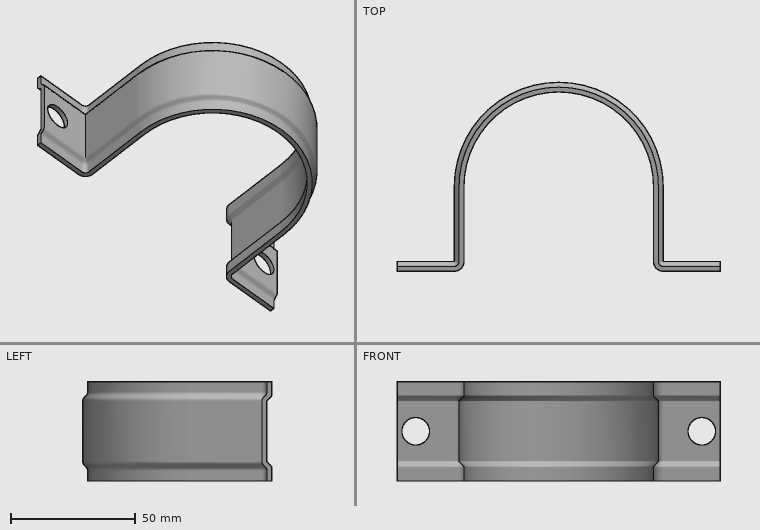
import cadquery as cq
import math

pipe_diameter = 76.1
overall_length = 130.0
strip_width = 40.0
thickness = 2.0
press_depth = 2.0
arch_center_y = 34.0
hole_diameter = 11.0
hole_spacing = 115.0

step_angle = 45.0
rim_outer_corner = 5.0
outer_foot_radius = 2.0
outer_crest_radius = 2.0
inner_foot_radius = 1.0
inner_crest_radius = 0.5

bore_radius = pipe_diameter / 2
section_depth = thickness + press_depth
bend_x = bore_radius + section_depth
bend_y = section_depth
leg_length = arch_center_y - bend_y
flange_length = overall_length / 2 - bend_x
half_width = strip_width / 2
step_run = press_depth / math.tan(math.radians(step_angle))
quarter_turn = 90.0
corner_shift = thickness * math.tan(math.radians(step_angle / 2))


def step_face(rim_depth, foot_z, foot_radius, crest_radius):
    """End points of the two rounds of a step face, from the rim to the middle, as (depth, z)."""
    angle = math.radians(step_angle)
    foot_tangent = foot_radius * math.tan(angle / 2)
    crest_tangent = crest_radius * math.tan(angle / 2)
    crest_depth = rim_depth + press_depth
    crest_z = foot_z - step_run
    return (
        (rim_depth, foot_z + foot_tangent),
        (rim_depth + foot_tangent * math.sin(angle), foot_z - foot_tangent * math.cos(angle)),
        (crest_depth - crest_tangent * math.sin(angle), crest_z + crest_tangent * math.cos(angle)),
        (crest_depth, crest_z - crest_tangent),
    )


def half_section(plane):
    """Strip section above z = 0; plane x is the depth outward from the rim's inner face."""
    outer_foot_z = half_width - rim_outer_corner
    inner_foot_z = outer_foot_z - corner_shift
    outer = step_face(thickness, outer_foot_z, outer_foot_radius, outer_crest_radius)
    inner = step_face(0, inner_foot_z, inner_foot_radius, inner_crest_radius)
    return (
        cq.Workplane(plane)
        .moveTo(0, half_width)
        .lineTo(thickness, half_width)
        .lineTo(*outer[0])
        .radiusArc(outer[1], -outer_foot_radius)
        .lineTo(*outer[2])
        .radiusArc(outer[3], outer_crest_radius)
        .lineTo(section_depth, 0)
        .lineTo(press_depth, 0)
        .lineTo(*inner[3])
        .radiusArc(inner[2], -inner_crest_radius)
        .lineTo(*inner[1])
        .radiusArc(inner[0], inner_foot_radius)
        .close()
    )


def section_plane(x, y, normal, depth_direction):
    """Plane across the strip at its rim's inner face; its y direction is Z."""
    return cq.Plane(origin=(x, y, 0), xDir=depth_direction, normal=normal)


def quarter_strap():
    """Upper half of the strap on the +X side: half arch, leg, foot bend and flange."""
    toward_base = (0, -1, 0)
    away_from_base = (0, 1, 0)
    outward = (1, 0, 0)
    arch_end = section_plane(bore_radius, arch_center_y, toward_base, outward)
    leg_end = section_plane(bore_radius, bend_y, toward_base, outward)
    flange_start = section_plane(bend_x, 0, outward, away_from_base)
    half_arch = half_section(arch_end).revolve(quarter_turn, (-bore_radius, 0), (-bore_radius, 1))
    leg = half_section(arch_end).extrude(leg_length)
    foot_bend = half_section(leg_end).revolve(quarter_turn, (section_depth, 0), (section_depth, 1))
    flange = half_section(flange_start).extrude(flange_length)
    return half_arch.union(leg).union(foot_bend).union(flange)


def mounting_holes():
    """Cutters along Y through both flanges."""
    return (
        cq.Workplane("XZ")
        .pushPoints([(-hole_spacing / 2, 0), (hole_spacing / 2, 0)])
        .circle(hole_diameter / 2)
        .extrude(-section_depth)
    )


quarter = quarter_strap()
half = quarter.union(quarter.mirror("XY"))
strap = half.union(half.mirror("YZ")).clean()
result = strap.cut(mounting_holes())